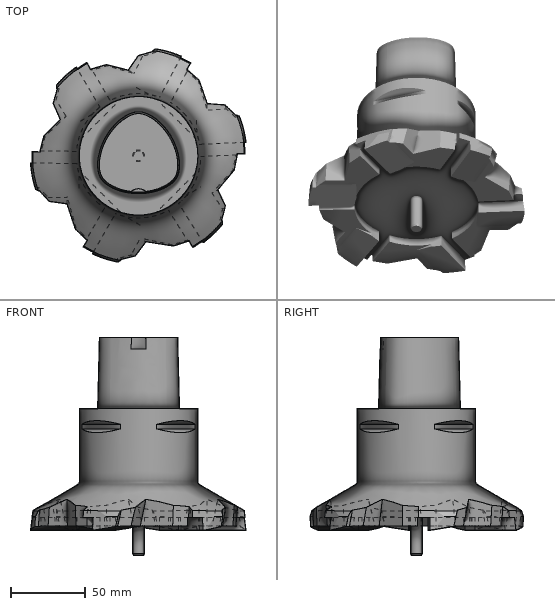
import cadquery as cq
import math


SHOULDER_Z = 82.0
TOP_Z = 130.1
SHANK_RADIUS = 27.6
LOBE_HEIGHT = 2.0
TAPER = 1 / 40
LOBE_SPAN = 60
LOBE_STEP = 10
NOTCH_RADIUS = 7.0
NOTCH_WALL_Y = -22.2
NOTCH_DEPTH = 8.0

COLLAR_DIAMETER = 80.0
GROOVE_Z = 70.0
GROOVE_LENGTH = 36.8
GROOVE_BACK_HEIGHT = 3
GROOVE_SIDE_ANGLE = 30
GROOVE_COUNT = 4
FIRST_GROOVE_ANGLE = 45

CONE_ANGLE = 30
CONE_RADIUS = 71.6
CONE_Z = 13.2
RIDGE_RADIUS = 73.0
RIDGE_Z = 9.4
TIP_RADIUS = 73.0
BOTTOM_Z = 3
NECK_DIAMETER = 82.3
RECESS_DIAMETER = 84.0
RECESS_TOP_Z = 8.5

TOOTH_ANGLES = [0, 59.6, 117.9, 176.6, 237.6, 299.5]
POCKET_WALL = (66.7, 1.3)
POCKET_CORNER = (64.5, -9.5)
GULLET_ROOT = (46.3, 35.3)
TOOTH_BACK_INNER = (58.2, 34.4)
TOOTH_BACK_OUTER = (65.3, 27.6)
ROOT_Z = 21.0
BACK_INNER_Z = 15.6
BACK_OUTER_Z = 13.7
POCKET_Z = 16.2

POCKET_LEAN = (-0.07, 0)
ROOT_LEAN = (0, -0.25)
BACK_LEAN = (0.08, -0.22)

SLOT_WIDTH = 8.2
EDGE_INNER_X = 39.7
EDGE_INNER_Y = 7.6
EDGE_OUTER_Y = 9.1
EDGE_OUTER_X = 72.5
EDGE_SLOPE = (EDGE_OUTER_Y - EDGE_INNER_Y) / (EDGE_OUTER_X - EDGE_INNER_X)
EDGE_RELIEF_ANGLE = 9
FLANK_RELIEF_ANGLE = 4
FLANK_TILT = 7.4

PIN_DIAMETER = 8.0
PIN_END_Z = -16.9
PIN_CHAMFER_LENGTH = 1.3
PIN_CHAMFER_WIDTH = 0.6

OUTSIDE = 88.2
CUT_LOW_Z = -3
CUT_HIGH_Z = 29.4
COLLAR_RADIUS = COLLAR_DIAMETER / 2


def rotated(point, angle):
    a = math.radians(angle)
    x, y = point
    return (x * math.cos(a) - y * math.sin(a), x * math.sin(a) + y * math.cos(a))


def lobed_point(radius, angle):
    """Point of a constant-width curve, with a lobe toward +Y, where the outward normal has this angle."""
    t = math.radians(angle)
    support = radius - LOBE_HEIGHT * math.sin(3 * t)
    slope = -3 * LOBE_HEIGHT * math.cos(3 * t)
    x = support * math.cos(t) - slope * math.sin(t)
    y = support * math.sin(t) + slope * math.cos(t)
    return (x, y)


def lobed_outline(plane, radius):
    """Three lobes and three flatter sides, each a curve spanning 60 degrees of turn."""
    outline = plane.moveTo(*lobed_point(radius, 0))
    for start in range(0, 360, LOBE_SPAN):
        end = start + LOBE_SPAN
        angles = range(start + LOBE_STEP, end + 1, LOBE_STEP)
        points = [lobed_point(radius, angle) for angle in angles]
        tangents = [rotated((0, 1), start), rotated((0, 1), end)]
        outline = outline.spline(points, tangents=tangents, includeCurrent=True)
    return outline.close()


def make_shank():
    length = TOP_Z - SHOULDER_Z
    base = lobed_outline(cq.Workplane("XY", origin=(0, 0, SHOULDER_Z)), SHANK_RADIUS)
    shank = lobed_outline(base.workplane(offset=length), SHANK_RADIUS - TAPER * length).loft(ruled=True)
    notch = (
        cq.Workplane("XY", origin=(0, NOTCH_WALL_Y - NOTCH_RADIUS, TOP_Z - NOTCH_DEPTH))
        .circle(NOTCH_RADIUS).extrude(NOTCH_DEPTH)
    )
    return shank.cut(notch)


def make_collar_and_head():
    """Turned blank: collar, concave neck, cone and the rim of the cutter head."""
    neck_z = CONE_Z + (CONE_RADIUS - COLLAR_RADIUS) * math.tan(math.radians(CONE_ANGLE))
    turn = math.radians(90 - CONE_ANGLE)
    tangent_length = (NECK_DIAMETER / 2 - COLLAR_RADIUS) / math.sin(turn)
    neck_fillet = tangent_length / math.tan(turn / 2)
    blank = (
        cq.Workplane("XZ")
        .moveTo(0, 0)
        .lineTo(TIP_RADIUS, 0)
        .lineTo(RIDGE_RADIUS, RIDGE_Z)
        .lineTo(CONE_RADIUS, CONE_Z)
        .lineTo(COLLAR_RADIUS, neck_z)
        .lineTo(COLLAR_RADIUS, SHOULDER_Z)
        .lineTo(0, SHOULDER_Z)
        .close()
        .revolve(360, (0, 0, 0), (0, 1, 0))
    )
    neck = blank.edges(cq.NearestToPointSelector((-COLLAR_RADIUS, 0, neck_z)))
    return neck.fillet(neck_fillet)


def make_groove():
    """Groove across the collar on its +X side."""
    back_x = math.sqrt(COLLAR_RADIUS**2 - (GROOVE_LENGTH / 2) ** 2)
    depth = OUTSIDE - back_x
    back_half = GROOVE_BACK_HEIGHT / 2
    mouth_half = back_half + depth * math.tan(math.radians(GROOVE_SIDE_ANGLE))
    return (
        cq.Workplane("XZ", origin=(0, 0, GROOVE_Z))
        .polyline([
            (back_x, -back_half), (OUTSIDE, -mouth_half), (OUTSIDE, mouth_half), (back_x, back_half),
        ])
        .close()
        .extrude(COLLAR_RADIUS, both=True)
    )


def gullet_outline(z, tooth_angle, next_angle):
    """Section at height z of the gap between the back of one tooth and the pocket of the next."""
    def leaning(point, point_z, lean):
        drop = point_z - z
        return (point[0] + lean[0] * drop, point[1] + lean[1] * drop)

    back_outer = leaning(TOOTH_BACK_OUTER, BACK_OUTER_Z, BACK_LEAN)
    tooth_back = [
        (OUTSIDE, back_outer[1]),
        back_outer,
        leaning(TOOTH_BACK_INNER, BACK_INNER_Z, BACK_LEAN),
        leaning(GULLET_ROOT, ROOT_Z, ROOT_LEAN),
    ]
    next_pocket = [
        leaning(POCKET_CORNER, POCKET_Z, POCKET_LEAN),
        leaning(POCKET_WALL, POCKET_Z, POCKET_LEAN),
        (OUTSIDE, POCKET_WALL[1]),
    ]
    outline = [rotated(p, tooth_angle) for p in tooth_back]
    outline += [rotated(p, next_angle) for p in next_pocket]
    return outline


def make_gullet(tooth_angle, next_angle):
    return (
        cq.Workplane("XY", origin=(0, 0, CUT_LOW_Z))
        .polyline(gullet_outline(CUT_LOW_Z, tooth_angle, next_angle)).close()
        .workplane(offset=CUT_HIGH_Z - CUT_LOW_Z)
        .polyline(gullet_outline(CUT_HIGH_Z, tooth_angle, next_angle)).close()
        .loft(ruled=True)
    )


def edge_y(x):
    """Y of the straight cutting edge at distance x along the tooth."""
    return EDGE_INNER_Y + EDGE_SLOPE * (x - EDGE_INNER_X)


def make_chip_slot():
    """Slot in front of the cutting face, open below and outward."""
    return (
        cq.Workplane("XY", origin=(0, 0, CUT_LOW_Z))
        .polyline([
            (EDGE_INNER_X, EDGE_INNER_Y - SLOT_WIDTH),
            (OUTSIDE, edge_y(OUTSIDE) - SLOT_WIDTH),
            (OUTSIDE, edge_y(OUTSIDE)),
            (EDGE_INNER_X, EDGE_INNER_Y),
        ])
        .close()
        .extrude(RECESS_TOP_Z - CUT_LOW_Z)
    )


def make_flank_cut():
    """Block that trims the rim to a flat flank behind the cutting corner."""
    return (
        cq.Workplane("XY")
        .box(OUTSIDE, OUTSIDE, OUTSIDE, centered=(False, True, True))
        .rotate((0, 0, 0), (0, 1, 0), -FLANK_TILT)
        .rotate((0, 0, 0), (0, 0, 1), FLANK_RELIEF_ANGLE)
        .translate((EDGE_OUTER_X, EDGE_OUTER_Y, 0))
    )


def make_edge_wedge():
    """Wedge below the head: cutting edge at Z = 0, relieved upward behind the edge."""
    relief_length = BOTTOM_Z / math.tan(math.radians(EDGE_RELIEF_ANGLE))
    wedge = (
        cq.Workplane("YZ")
        .polyline([(0, 0), (relief_length, BOTTOM_Z), (0, BOTTOM_Z)]).close()
        .extrude(OUTSIDE - EDGE_INNER_X)
    )
    edge_angle = math.degrees(math.atan(EDGE_SLOPE))
    return (
        wedge.rotate((0, 0, 0), (0, 0, 1), edge_angle)
        .translate((EDGE_INNER_X, EDGE_INNER_Y, 0))
    )


def make_pin():
    radius = PIN_DIAMETER / 2
    end_radius = radius - PIN_CHAMFER_WIDTH
    return (
        cq.Workplane("XZ")
        .polyline([
            (0, PIN_END_Z),
            (end_radius, PIN_END_Z),
            (radius, PIN_END_Z + PIN_CHAMFER_LENGTH),
            (radius, CONE_Z),
            (0, CONE_Z),
        ])
        .close()
        .revolve(360, (0, 0, 0), (0, 1, 0))
    )


def around_axis(shape, angle):
    return shape.rotate((0, 0, 0), (0, 0, 1), angle)


blank = make_collar_and_head()

under_strip = cq.Workplane("XY").circle(OUTSIDE).extrude(BOTTOM_Z)
for angle in TOOTH_ANGLES:
    under_strip = under_strip.cut(around_axis(make_edge_wedge(), angle))
body = blank.cut(under_strip)

for i, angle in enumerate(TOOTH_ANGLES):
    next_angle = TOOTH_ANGLES[(i + 1) % len(TOOTH_ANGLES)]
    body = body.cut(make_gullet(angle, next_angle))
    body = body.cut(around_axis(make_chip_slot(), angle))
    body = body.cut(around_axis(make_flank_cut(), angle))

recess = cq.Workplane("XY").circle(RECESS_DIAMETER / 2).extrude(RECESS_TOP_Z)
body = body.cut(recess)

for i in range(GROOVE_COUNT):
    body = body.cut(around_axis(make_groove(), FIRST_GROOVE_ANGLE + 360 / GROOVE_COUNT * i))

result = body.union(make_shank()).union(make_pin())